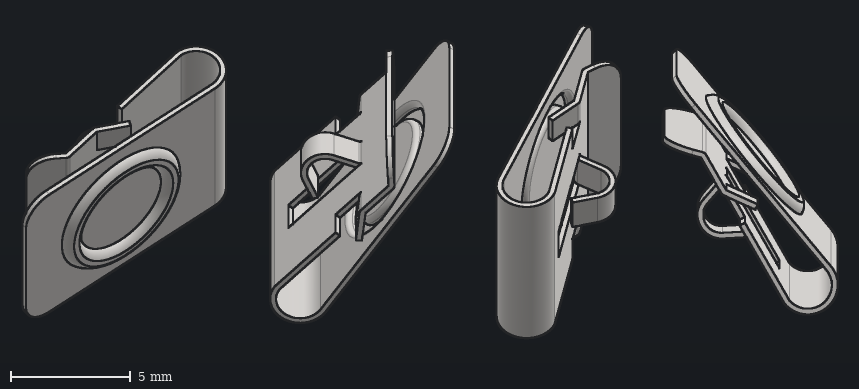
import cadquery as cq
import math

sheet = 0.25
length = 11.43
width = 7.92
bend_radius = 1.26
bend_y = length - bend_radius
corner_radius = 1.26

leg_tilt = 10.0
leg_length = 7.12
leg_heading = leg_tilt - 90
tail_heading = -125.0
tail_length = 1.66

slot_start = 0.86
notch_start = 3.82
cut_end = 5.41
slot_width = 1.54
notch_depth = 1.23

hook_width = 1.49
hook_fold_radius = 0.07
hook_root_length = 1.13
hook_inner_radius = 0.75
hook_heading = 180 - leg_tilt
hook_tip_heading = 36.0
hook_tip_length = 1.07
tab_heading = 64.0
tab_length = 1.45

bead_y = 5.09
bead_radius = 2.669
bead_height = 0.38
mouth_half_width = 0.497
crest_half_width = 0.143
groove_half_width = 0.269
shoulder_bulge = 0.06


def move(point, heading, distance):
    angle = math.radians(heading)
    return point[0] + distance * math.cos(angle), point[1] + distance * math.sin(angle)


def extrude(outline, height):
    return outline.close().extrude(height / 2, both=True)


def strip(start, heading, distance, height):
    """Flat sheet with its right-hand edge on the start point, seen along the heading."""
    end = move(start, heading, distance)
    left = heading + 90
    points = [start, end, move(end, left, sheet), move(start, left, sheet)]
    return extrude(cq.Workplane("XY").polyline(points), height)


def bend(center, inner, from_angle, to_angle, height):
    """Curved sheet about a center; a zero inner radius gives a sharp fold."""
    outer = inner + sheet
    middle = (from_angle + to_angle) / 2
    outline = (
        cq.Workplane("XY")
        .moveTo(*move(center, from_angle, inner))
        .lineTo(*move(center, from_angle, outer))
        .threePointArc(move(center, middle, outer), move(center, to_angle, outer))
    )
    if inner > 0:
        outline = outline.lineTo(*move(center, to_angle, inner))
        outline = outline.threePointArc(move(center, middle, inner), move(center, from_angle, inner))
    return extrude(outline, height)


def make_plate():
    plate = cq.Workplane("XY").box(sheet, bend_y, width).translate((-sheet / 2, bend_y / 2, 0))
    return plate.edges("|X and <Y").fillet(corner_radius)


def bead_sketch():
    """Plane whose x is the radius from the bead axis and whose y is the height along +X."""
    return cq.Workplane(cq.Plane(origin=(0, bead_y, 0), xDir=(0, 1, 0), normal=(0, 0, -1)))


def revolve_bead(outline):
    return outline.close().revolve(360, (0, 0, 0), (0, 1, 0))


def add_bead(plate):
    inside, outside = bead_radius - mouth_half_width, bead_radius + mouth_half_width
    shoulder = mouth_half_width - crest_half_width
    chord = math.hypot(shoulder, bead_height)
    mid_offset = (mouth_half_width + crest_half_width) / 2 + shoulder_bulge * bead_height / chord
    mid_height = bead_height / 2 + shoulder_bulge * shoulder / chord
    ridge = revolve_bead(
        bead_sketch()
        .moveTo(inside, -sheet / 2)
        .lineTo(inside, 0)
        .threePointArc((bead_radius - mid_offset, mid_height), (bead_radius - crest_half_width, bead_height))
        .lineTo(bead_radius + crest_half_width, bead_height)
        .threePointArc((bead_radius + mid_offset, mid_height), (outside, 0))
        .lineTo(outside, -sheet / 2)
    )
    lip = mouth_half_width - groove_half_width
    lip_mid = lip * (1 - math.sqrt(0.5))
    lip_run = lip * math.sqrt(0.5)
    floor = bead_height - sheet
    groove = revolve_bead(
        bead_sketch()
        .moveTo(inside, -sheet)
        .threePointArc((inside + lip_run, lip_mid - sheet), (inside + lip, lip - sheet))
        .lineTo(inside + lip, floor)
        .lineTo(outside - lip, floor)
        .lineTo(outside - lip, lip - sheet)
        .threePointArc((outside - lip_run, lip_mid - sheet), (outside, -sheet))
    )
    return plate.union(ridge).cut(groove)


def make_leg(top):
    leg = strip(top, leg_heading, leg_length, width)
    slot = strip(move(top, leg_heading, slot_start), leg_heading, cut_end - slot_start, slot_width)
    notch_top = move(top, leg_heading, notch_start)
    notch = strip(notch_top, leg_heading, cut_end - notch_start, notch_depth)
    leg = leg.cut(slot)
    for side in (-1, 1):
        leg = leg.cut(notch.translate((0, 0, side * (width - notch_depth) / 2)))
    return leg


def make_tail(fold):
    fold_sector = bend(fold, 0, leg_tilt, tail_heading + 90, width)
    tail = strip(fold, tail_heading, tail_length, width)
    end_x, end_y = move(move(fold, tail_heading, tail_length), tail_heading + 90, sheet / 2)
    end_edges = cq.selectors.BoxSelector(
        (end_x - sheet, end_y - sheet, -width), (end_x + sheet, end_y + sheet, width)
    )
    across = cq.selectors.ParallelDirSelector(cq.Vector(*move((0, 0), tail_heading + 90, 1)))
    tail = tail.edges(end_edges).edges(across).fillet(corner_radius)
    return fold_sector.union(tail)


def make_hook(fold):
    """Hook folded outward from the leg, then curled back toward it."""
    inner_side = hook_heading - 90
    fold_center = move(fold, leg_tilt + 180, hook_fold_radius)
    fold_sector = bend(fold_center, hook_fold_radius, leg_tilt, inner_side, hook_width)
    root_start = move(fold_center, inner_side, hook_fold_radius + sheet)
    root = strip(root_start, hook_heading, hook_root_length, hook_width)
    curl_start = move(root_start, hook_heading, hook_root_length)
    curl_center = move(curl_start, inner_side, hook_inner_radius)
    tip_side = hook_tip_heading + 90
    curl = bend(curl_center, hook_inner_radius, tip_side, inner_side + 180, hook_width)
    tip = strip(move(curl_center, tip_side, hook_inner_radius), hook_tip_heading, hook_tip_length, hook_width)
    return fold_sector.union(root).union(curl).union(tip)


def make_tab(fold):
    fold_sector = bend(fold, 0, tab_heading + 90, leg_tilt + 180, notch_depth)
    return fold_sector.union(strip(fold, tab_heading, tab_length, notch_depth))


leg_top = (-2 * bend_radius, bend_y)
cut_corner = move(leg_top, leg_heading, cut_end)
inner_corner = move(cut_corner, leg_tilt, sheet)
tail_fold = move(leg_top, leg_heading, leg_length)

result = add_bead(make_plate())
result = result.union(bend((-bend_radius, bend_y), bend_radius - sheet, 0, 180, width))
result = result.union(bend(leg_top, 0, 0, leg_tilt, width))
result = result.union(make_leg(leg_top))
result = result.union(make_tail(tail_fold))
result = result.union(make_hook(cut_corner))
for side in (-1, 1):
    result = result.union(make_tab(inner_corner).translate((0, 0, side * (width - notch_depth) / 2)))